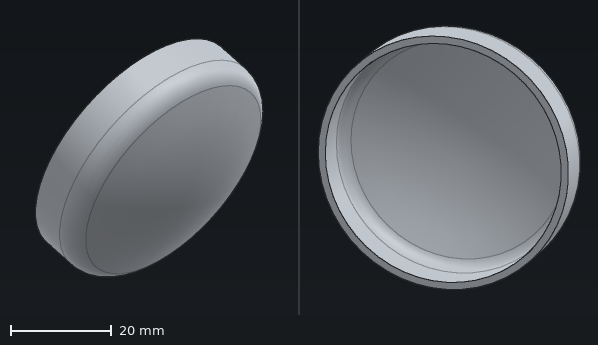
import cadquery as cq
import math

outer_diameter = 52.0
bore_diameter = 49.0
total_depth = 16.85
skirt_length = 7.3
shoulder_radius = 5.0

outer_radius = outer_diameter / 2
wall = (outer_diameter - bore_diameter) / 2

shoulder_center_r = outer_radius - shoulder_radius
crown_rise = total_depth - skirt_length
dome_radius = (crown_rise**2 + shoulder_center_r**2 - shoulder_radius**2) / (
    2 * (crown_rise - shoulder_radius)
)
dome_center_x = total_depth - dome_radius
tangent_angle = math.atan2(shoulder_center_r, skirt_length - dome_center_x)


def dome_point(inset, angle):
    """Point (x, r) on the dome, inset from the outer surface, at an angle from the axis."""
    radius = dome_radius - inset
    return (dome_center_x + radius * math.cos(angle), radius * math.sin(angle))


def shoulder_middle(inset):
    """Point (x, r) halfway along the shoulder arc, inset from the outer surface."""
    radius = shoulder_radius - inset
    angle = (tangent_angle + math.pi / 2) / 2
    return (
        skirt_length + radius * math.cos(angle),
        shoulder_center_r + radius * math.sin(angle),
    )


section = (
    cq.Workplane("XY")
    .moveTo(0, outer_radius)
    .lineTo(skirt_length, outer_radius)
    .threePointArc(shoulder_middle(0), dome_point(0, tangent_angle))
    .threePointArc(dome_point(0, tangent_angle / 2), dome_point(0, 0))
    .lineTo(*dome_point(wall, 0))
    .threePointArc(dome_point(wall, tangent_angle / 2), dome_point(wall, tangent_angle))
    .threePointArc(shoulder_middle(wall), (skirt_length, outer_radius - wall))
    .lineTo(0, outer_radius - wall)
    .close()
)

result = section.revolve(360, (0, 0, 0), (1, 0, 0))